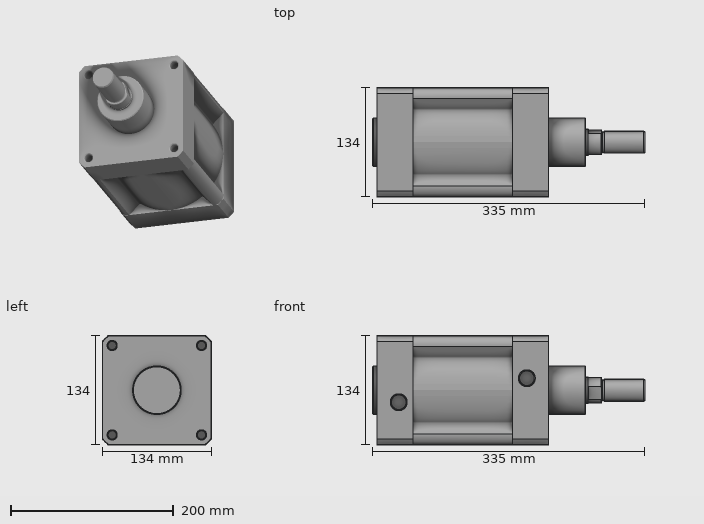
import cadquery as cq
import math


total_length = 335.0
cap_start = 5.5
cap_length = 44.5
barrel_length = 122.0
boss_length = 45.5
barrel_start = cap_start + cap_length
front_cap_start = barrel_start + barrel_length
front_cap_end = front_cap_start + cap_length
boss_end = front_cap_end + boss_length

cap_width = 134.0
half_width = cap_width / 2
boss_radius = 29.8
boss_chamfer = 1.0
screw_offset = 55.0
screw_diameter = 10.5
screw_radius = screw_diameter / 2
screw_chamfer = 1.0
screw_depth = 20.0
port_radius = 9.0
port_chamfer = 1.5
port_depth = 20.0
port_height = 14.7
port_inset = 17.8

crest_slope = math.radians(6.5)
barrel_radius = half_width * math.cos(crest_slope)
post_radius = half_width - screw_offset
web_width = 18.5
web_half_width = web_width / 2
root_fillet = 2.0
root_reach = 57.0

post_centre = screw_offset * math.sqrt(2)
corner_reach = post_centre + post_radius
corner_chamfer = cap_width - corner_reach * math.sqrt(2)

rod_radius = 16.0
collar_end = 264.5
flats_start = 265.5
step_depth = 0.5
flats_radius = rod_radius - step_depth
shoulder = 281.5
shoulder_chamfer = 0.7
flat_half_width = 13.5
flat_tilt = 15.0
groove_start_radius = 13.5
groove_bottom = 282.7
groove_radius = 12.0
thread_start = 284.8
thread_diameter = 27.0
thread_radius = thread_diameter / 2
tip_chamfer_length = 2.0
tip_chamfer_depth = 1.0


def axial_cylinder(start, end, radius):
    """Cylinder on the X axis between two stations."""
    return cq.Workplane("YZ", origin=(start, 0, 0)).circle(radius).extrude(end - start)


def chamfered_hole(mouth, direction, radius, chamfer, depth):
    """Tool for a blind round hole with a 45 degree chamfer at its mouth."""
    start = cq.Vector(*mouth)
    along = cq.Vector(*direction)
    bore = cq.Solid.makeCylinder(radius, depth, start, along)
    countersink = cq.Solid.makeCone(radius + chamfer, radius, chamfer, start, along)
    return bore.fuse(countersink)


def make_cap(start, screw_face, inward, port_x, port_z):
    """Square cap with cut corners, four screw holes in its outer face and a port in its -Y side.

    The screw holes run from screw_face along X in the inward direction, 1 or -1.
    """
    cap = cq.Workplane("YZ", origin=(start, 0, 0)).rect(cap_width, cap_width).extrude(cap_length)
    cap = cap.edges("|X").chamfer(corner_chamfer)
    for y in (-screw_offset, screw_offset):
        for z in (-screw_offset, screw_offset):
            mouth = (screw_face, y, z)
            cap = cap.cut(chamfered_hole(mouth, (inward, 0, 0), screw_radius, screw_chamfer, screw_depth))
    port_mouth = (port_x, -half_width, port_z)
    return cap.cut(chamfered_hole(port_mouth, (0, 1, 0), port_radius, port_chamfer, port_depth))


def make_rear_cap():
    """Rear cap with its short centring boss."""
    cap = make_cap(cap_start, cap_start, 1, barrel_start - port_inset, -port_height)
    boss = axial_cylinder(0, cap_start, boss_radius).faces("<X").chamfer(boss_chamfer)
    return cap.union(boss)


def make_front_cap():
    """Front cap with its long guide boss, bored through for the rod."""
    cap = make_cap(front_cap_start, front_cap_end, -1, front_cap_start + port_inset, port_height)
    boss = axial_cylinder(front_cap_end, boss_end, boss_radius).faces(">X").chamfer(boss_chamfer)
    return cap.union(boss).cut(axial_cylinder(front_cap_start, boss_end, rod_radius))


def make_web():
    """Straight web along +Y that ends in a round post, to be turned onto a diagonal."""
    web_reach = post_centre + math.sqrt(post_radius**2 - web_half_width**2)
    return (
        cq.Workplane("YZ", origin=(barrel_start, 0, 0))
        .moveTo(0, -web_half_width)
        .lineTo(web_reach, -web_half_width)
        .threePointArc((post_centre + post_radius, 0), (web_reach, web_half_width))
        .lineTo(0, web_half_width)
        .close()
        .extrude(barrel_length)
    )


def make_crest():
    """Low gabled crest on the +Y side of the barrel, peaking level with the caps."""
    crest_foot = barrel_radius * math.cos(crest_slope)
    crest_half_width = barrel_radius * math.sin(crest_slope)
    return (
        cq.Workplane("YZ", origin=(barrel_start, 0, 0))
        .moveTo(0, -crest_half_width)
        .lineTo(crest_foot, -crest_half_width)
        .lineTo(half_width, 0)
        .lineTo(crest_foot, crest_half_width)
        .lineTo(0, crest_half_width)
        .close()
        .extrude(barrel_length)
    )


def make_barrel():
    """Round barrel with four low side crests and four diagonal webs that end in round posts."""
    barrel = axial_cylinder(barrel_start, front_cap_start, barrel_radius)
    crest = make_crest()
    web = make_web()
    for side_angle in (0, 90, 180, 270):
        barrel = barrel.union(crest.rotate((0, 0, 0), (1, 0, 0), side_angle))
        barrel = barrel.union(web.rotate((0, 0, 0), (1, 0, 0), side_angle + 45))
    roots = cq.selectors.BoxSelector(
        (barrel_start, -root_reach, -root_reach), (front_cap_start, root_reach, root_reach)
    )
    return barrel.edges("|X").edges(roots).fillet(root_fillet)


def make_rod():
    """Turned rod with a grooved, chamfered threaded end and two wrench flats."""
    profile = [
        (front_cap_start, 0),
        (front_cap_start, rod_radius),
        (collar_end, rod_radius),
        (collar_end, flats_radius),
        (shoulder - shoulder_chamfer, flats_radius),
        (shoulder, flats_radius - shoulder_chamfer),
        (shoulder, groove_start_radius),
        (groove_bottom, groove_radius),
        (thread_start, thread_radius),
        (total_length - tip_chamfer_length, thread_radius),
        (total_length, thread_radius - tip_chamfer_depth),
        (total_length, 0),
    ]
    rod = cq.Workplane("XY").polyline(profile).close().revolve(360, (0, 0, 0), (1, 0, 0))
    flats_length = shoulder - flats_start
    for side in (-1, 1):
        waste = cq.Workplane("XY").box(flats_length, rod_radius, 2 * rod_radius).translate(
            (flats_start + flats_length / 2, side * (flat_half_width + rod_radius / 2), 0)
        )
        rod = rod.cut(waste.rotate((0, 0, 0), (1, 0, 0), flat_tilt))
    return rod


rear_cap = make_rear_cap()
barrel = make_barrel()
front_cap = make_front_cap()
rod = make_rod()

result = cq.Compound.makeCompound([rear_cap.val(), barrel.val(), front_cap.val(), rod.val()])